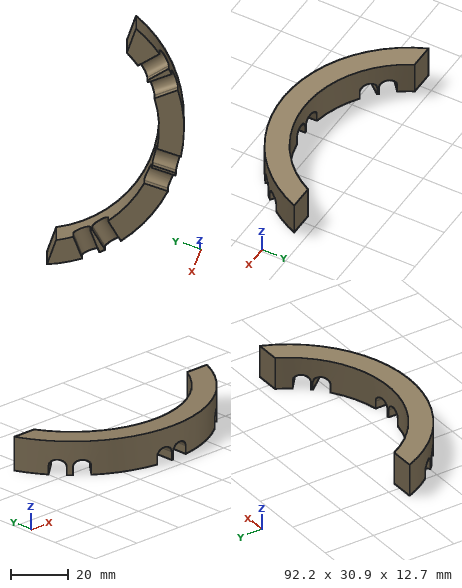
import cadquery as cq
import math

HEIGHT = 12.7
OUTER_RADIUS = 49.9
INNER_RADIUS = 41.275
CHORD_DISTANCE = 19.05

NOTCH_WIDTH = 6.3
NOTCH_WALL_HEIGHT = 3.175
ARCH_RISE = 2.54

MIDDLE_WEB = 0.9
SIDE_NOTCH_ANGLES = (39.9, 49.7)


def ring_segment():
    """Part of the ring lying beyond the chord on the -Y side."""
    outer_half_chord = math.sqrt(OUTER_RADIUS**2 - CHORD_DISTANCE**2)
    inner_half_chord = math.sqrt(INNER_RADIUS**2 - CHORD_DISTANCE**2)
    return (
        cq.Workplane("XY")
        .moveTo(-outer_half_chord, -CHORD_DISTANCE)
        .threePointArc((0, -OUTER_RADIUS), (outer_half_chord, -CHORD_DISTANCE))
        .lineTo(inner_half_chord, -CHORD_DISTANCE)
        .threePointArc((0, -INNER_RADIUS), (-inner_half_chord, -CHORD_DISTANCE))
        .close()
        .extrude(HEIGHT)
    )


def notch_cutter(center_x=0.0, angle=0.0):
    """Arched notch running from the ring axis to the outer wall, turned about the axis."""
    half_width = NOTCH_WIDTH / 2
    return (
        cq.Workplane("XZ")
        .moveTo(center_x + half_width, NOTCH_WALL_HEIGHT)
        .ellipseArc(half_width, ARCH_RISE, 0, 180, startAtCurrent=True)
        .lineTo(center_x - half_width, 0)
        .lineTo(center_x + half_width, 0)
        .close()
        .extrude(OUTER_RADIUS)
        .rotate((0, 0, 0), (0, 0, 1), angle)
    )


result = ring_segment()
middle_offset = (MIDDLE_WEB + NOTCH_WIDTH) / 2
for side in (-1, 1):
    result = result.cut(notch_cutter(center_x=side * middle_offset))
    for notch_angle in SIDE_NOTCH_ANGLES:
        result = result.cut(notch_cutter(angle=side * notch_angle))